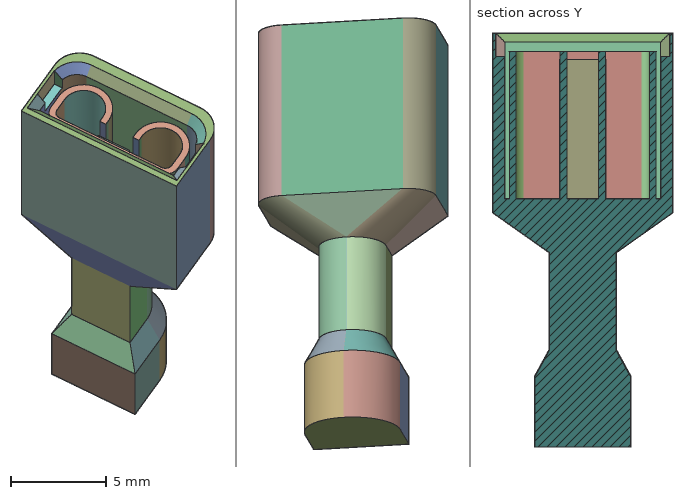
import cadquery as cq

total_height = 21.72
foot_top = 3.7
neck_bottom = 5.08
neck_top = 10.2
body_bottom = 12.3

foot_radius = 2.55
neck_radius = 1.78
sleeve_y = foot_radius
back_flat = 0.005

body_width = 9.47
body_back = 5.54
body_front = 0.56
body_corner = 1.5

cavity_floor = 13.03
cavity_width = 8.17
cavity_front = 1.37
cavity_back = 4.5
cavity_corner = 1.02
flare_offset = 0.48
flare_depth = 0.48

notch_front = 1.93
notch_back = 3.67
notch_depth = 1.22

terminal_recess = 0.95
terminal_top = total_height - terminal_recess
terminal_base = 1.41
curl_outer = 1.52
curl_inner = 1.15
curl_x = 2.35
terminal_depth = 3.06
curl_y = terminal_base + terminal_depth - curl_outer
curl_tip_y = 2.67
blade_corner = 0.75
sheet = curl_outer - curl_inner

ridge_base_half = 1.22
ridge_top_half = 0.93
ridge_height = 0.35
ridge_drop = 0.43
ridge_top = terminal_top - ridge_drop


def housing_outline(plane, width, front, back, corner):
    """Rectangle with its two back corners rounded."""
    half = width / 2
    return (
        plane.moveTo(0, front)
        .lineTo(half, front)
        .lineTo(half, back - corner)
        .radiusArc((half - corner, back), -corner)
        .lineTo(corner - half, back)
        .radiusArc((-half, back - corner), -corner)
        .lineTo(-half, front)
        .close()
    )


def sleeve_outline(plane, radius):
    """Square-fronted outline whose two back corners merge into a near half-round."""
    corner = radius - back_flat / 2
    return housing_outline(plane, 2 * radius, sleeve_y - radius, sleeve_y + radius, corner)


def level(z):
    return cq.Workplane("XY", origin=(0, 0, z))


def make_sleeve():
    foot = sleeve_outline(level(0), foot_radius).extrude(foot_top)
    lower = sleeve_outline(level(foot_top), foot_radius)
    flare = sleeve_outline(lower.workplane(offset=neck_bottom - foot_top), neck_radius).loft(ruled=True)
    neck = sleeve_outline(level(neck_bottom), neck_radius).extrude(neck_top - neck_bottom)
    return foot.union(flare).union(neck)


def make_body():
    lower = sleeve_outline(level(neck_top), neck_radius)
    upper = lower.workplane(offset=body_bottom - neck_top)
    shoulder = housing_outline(upper, body_width, body_front, body_back, body_corner).loft(ruled=True)
    block = housing_outline(level(body_bottom), body_width, body_front, body_back, body_corner)
    return shoulder.union(block.extrude(total_height - body_bottom))


def make_cavity():
    socket = housing_outline(level(cavity_floor), cavity_width, cavity_front, cavity_back, cavity_corner)
    socket = socket.extrude(total_height - cavity_floor)
    mouth_width = cavity_width + 2 * flare_offset
    lower = housing_outline(
        level(total_height - flare_depth), cavity_width, cavity_front, cavity_back, cavity_corner
    )
    mouth = housing_outline(
        lower.workplane(offset=flare_depth),
        mouth_width,
        cavity_front - flare_offset,
        cavity_back + flare_offset,
        cavity_corner + flare_offset,
    ).loft(ruled=True)
    notches = (
        level(total_height - notch_depth)
        .center(0, (notch_front + notch_back) / 2)
        .rect(mouth_width, notch_back - notch_front)
        .extrude(notch_depth)
    )
    return socket.union(mouth).union(notches)


def make_terminal():
    height = terminal_top - cavity_floor
    outer_x = curl_x + curl_outer
    inner_x = curl_x + curl_inner
    blade_top = terminal_base + sheet
    inner_corner = blade_corner - sheet
    corner_y = terminal_base + blade_corner
    half = (
        level(cavity_floor)
        .moveTo(0, terminal_base)
        .lineTo(outer_x - blade_corner, terminal_base)
        .radiusArc((outer_x, corner_y), -blade_corner)
        .lineTo(outer_x, curl_y)
        .threePointArc((curl_x, curl_y + curl_outer), (curl_x - curl_outer, curl_y))
        .lineTo(curl_x - curl_outer, curl_tip_y)
        .lineTo(curl_x - curl_inner, curl_tip_y)
        .lineTo(curl_x - curl_inner, curl_y)
        .threePointArc((curl_x, curl_y + curl_inner), (inner_x, curl_y))
        .lineTo(inner_x, corner_y)
        .radiusArc((inner_x - inner_corner, blade_top), inner_corner)
        .lineTo(0, blade_top)
        .close()
        .extrude(height)
    )
    ridge = (
        level(cavity_floor)
        .moveTo(-ridge_base_half, blade_top)
        .lineTo(ridge_base_half, blade_top)
        .lineTo(ridge_top_half, blade_top + ridge_height)
        .lineTo(-ridge_top_half, blade_top + ridge_height)
        .close()
        .extrude(ridge_top - cavity_floor)
    )
    return half.union(half.mirror("YZ")).union(ridge)


result = make_sleeve().union(make_body()).cut(make_cavity()).union(make_terminal())